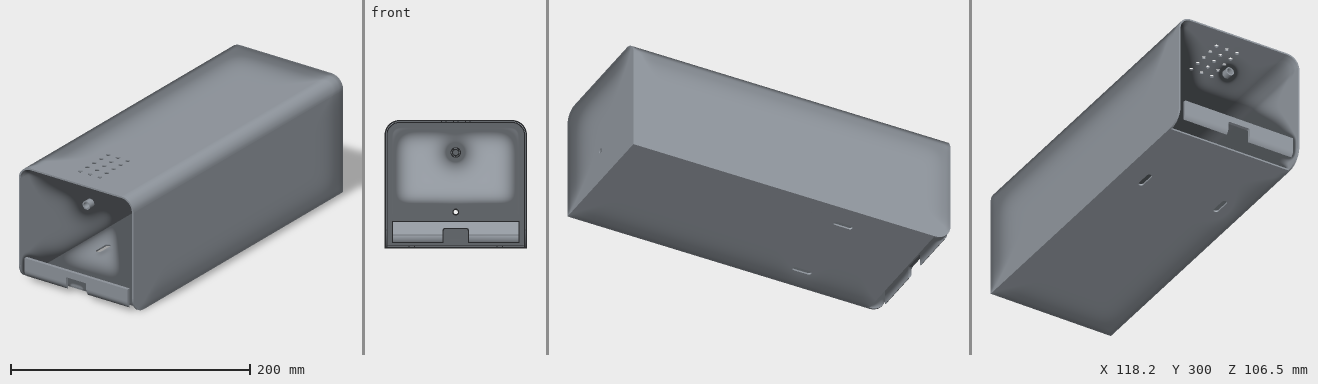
import cadquery as cq

WIDTH = 118.2
LENGTH = 300.0
HEIGHT = 106.5
SHEET = 1.5
FRONT_Y = -LENGTH / 2
BACK_Y = LENGTH / 2

BEND_RADIUS = 12.0
WALL_CORNER_RADIUS = 15.0
INNER_WIDTH = WIDTH - 2 * SHEET
INNER_HEIGHT = HEIGHT - SHEET
INNER_BEND_RADIUS = BEND_RADIUS - SHEET

VENT_DIAMETER = 4.0
VENT_COLUMNS = 3
VENT_ROWS = 5
VENT_FIELD_WIDTH = 20.0
VENT_FIELD_LENGTH = 40.0
VENT_FRONT_OFFSET = 20.0

FLOOR_FRONT_Y = FRONT_Y + WALL_CORNER_RADIUS
BACK_HOLE_DIAMETER = 4.5
BACK_HOLE_Z = 30.0
SLOT_X = 37.0
SLOT_FRONT_Y = -69.0
SLOT_LENGTH = 18.0
SLOT_WIDTH = 4.8

LIP_WIDTH = 106.2
LIP_THICKNESS = 3.0
LIP_BOTTOM_Z = 4.5
LIP_ROUND_TOP_Z = 10.8
LIP_TOP_Z = 22.2
NOTCH_WIDTH = 21.0
NOTCH_TOP_Z = 16.2
NOTCH_CORNER_RADIUS = 1.5

SLEEVE_DIAMETER = 7.8
SLEEVE_BORE = 5.5
SLEEVE_Z = 79.8
SLEEVE_FRONT_Y = -135.3
SLEEVE_LENGTH = 6.0


def arch(width, height, corner_radius, length):
    """A bar with rounded top edges, from the front face back along +Y."""
    return (
        cq.Workplane("XY")
        .box(width, length, height, centered=(True, False, False))
        .edges("|Y and >Z")
        .fillet(corner_radius)
        .translate((0, FRONT_Y, 0))
    )


def cylinder_along_y(diameter, front_y, length, z):
    """A cylinder on the middle plane, from front_y back along +Y."""
    base_plane = cq.Plane(origin=(0, front_y, z), xDir=(1, 0, 0), normal=(0, 1, 0))
    return cq.Workplane(base_plane).circle(diameter / 2).extrude(length)


def make_vents():
    column_pitch = VENT_FIELD_WIDTH / (VENT_COLUMNS - 1)
    row_pitch = VENT_FIELD_LENGTH / (VENT_ROWS - 1)
    field_center_y = FRONT_Y + VENT_FRONT_OFFSET + VENT_FIELD_LENGTH / 2
    return (
        cq.Workplane("XY", origin=(0, field_center_y, INNER_HEIGHT))
        .rarray(column_pitch, row_pitch, VENT_COLUMNS, VENT_ROWS)
        .circle(VENT_DIAMETER / 2)
        .extrude(SHEET)
    )


def make_cover():
    sheet = arch(WIDTH, HEIGHT, BEND_RADIUS, LENGTH).cut(
        arch(INNER_WIDTH, INNER_HEIGHT, INNER_BEND_RADIUS, LENGTH)
    )
    sheet = sheet.edges("|X and <Y and <Z").fillet(WALL_CORNER_RADIUS)
    return sheet.cut(make_vents())


def make_slots():
    """A pair of slots through the floor, running along Y."""
    slot_center_y = SLOT_FRONT_Y + SLOT_LENGTH / 2
    return (
        cq.Workplane("XY")
        .pushPoints([(side * SLOT_X, slot_center_y) for side in (-1, 1)])
        .slot2D(SLOT_LENGTH, SLOT_WIDTH, 90)
        .extrude(SHEET)
    )


def make_base():
    panel_front_y = BACK_Y - SHEET
    floor = (
        cq.Workplane("XY")
        .box(INNER_WIDTH, BACK_Y - FLOOR_FRONT_Y, SHEET, centered=(True, False, False))
        .translate((0, FLOOR_FRONT_Y, 0))
    )
    back_panel = arch(INNER_WIDTH, INNER_HEIGHT, INNER_BEND_RADIUS, SHEET).translate((0, LENGTH - SHEET, 0))
    back_hole = cylinder_along_y(BACK_HOLE_DIAMETER, panel_front_y, SHEET, BACK_HOLE_Z)
    return floor.union(back_panel).cut(back_hole).cut(make_slots())


def make_lip():
    round_drop = LIP_ROUND_TOP_Z - LIP_BOTTOM_Z
    round_radius = (LIP_THICKNESS**2 + round_drop**2) / (2 * LIP_THICKNESS)
    back_y = FRONT_Y + LIP_THICKNESS
    strip = (
        cq.Workplane("YZ", origin=(-LIP_WIDTH / 2, 0, 0))
        .moveTo(back_y, LIP_BOTTOM_Z)
        .lineTo(back_y, LIP_TOP_Z)
        .lineTo(FRONT_Y, LIP_TOP_Z)
        .lineTo(FRONT_Y, LIP_ROUND_TOP_Z)
        .radiusArc((back_y, LIP_BOTTOM_Z), -round_radius)
        .close()
        .extrude(LIP_WIDTH)
    )
    notch = (
        cq.Workplane("XY")
        .box(NOTCH_WIDTH, LIP_THICKNESS, NOTCH_TOP_Z, centered=(True, False, False))
        .edges("|Y and >Z")
        .fillet(NOTCH_CORNER_RADIUS)
        .translate((0, FRONT_Y, 0))
    )
    return strip.cut(notch)


def make_sleeve():
    outside = cylinder_along_y(SLEEVE_DIAMETER, SLEEVE_FRONT_Y, SLEEVE_LENGTH, SLEEVE_Z)
    bore = cylinder_along_y(SLEEVE_BORE, SLEEVE_FRONT_Y, SLEEVE_LENGTH, SLEEVE_Z)
    return outside.cut(bore)


cover = make_cover()
base = make_base()
lip = make_lip()
sleeve = make_sleeve()

result = cq.Compound.makeCompound([cover.val(), base.val(), lip.val(), sleeve.val()])